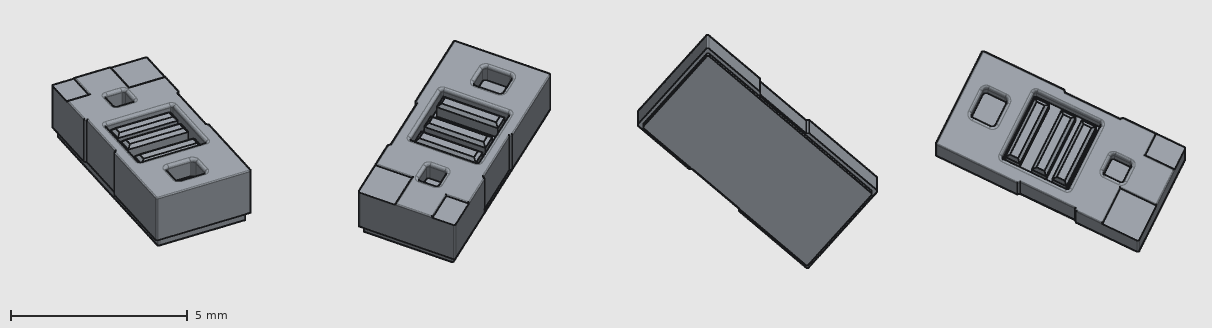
import cadquery as cq

LENGTH = 6.4
WIDTH = 3.03
HEIGHT = 1.75
HALF_LENGTH = LENGTH / 2
HALF_WIDTH = WIDTH / 2

BASE_HEIGHT = 0.28
BASE_INSET = 0.11
CORNER_RADIUS = 0.05

WAIST_START = -1.23
WAIST_END = 0.62
WAIST_DEPTH = 0.065

PAD_DEPTH = 0.04
TOP_EDGE_RADIUS = 0.035
BACK_PAD_LENGTH = 1.14
BACK_PAD_WIDTH = 1.15
FRONT_PAD_LENGTH = 0.93
FRONT_PAD_WIDTH = 0.705

POCKET_DEPTH = 0.59
RIM_RADIUS = 0.1
MAIN_POCKET = (2.1, 2.14, 0.3, -0.025, 0.06)
LEFT_POCKET = (0.635, 0.62, -1.73, -0.12, 0.08)
RIGHT_POCKET = (0.755, 0.915, 2.305, -0.115, 0.11)

RIB_CENTRES_X = (-0.42, 0.22, 1.05)
RIB_CENTRE_Y = -0.01
RIB_WIDTH = 0.455
RIB_LENGTH = 1.915
RIB_TOP_DROP = 0.095
RIB_BEVEL = 0.1


def rounded_block(length, width, bottom, height, corner_radius, centre=(0, 0)):
    """Upright block with rounded vertical edges."""
    return (
        cq.Workplane("XY", origin=(*centre, bottom))
        .rect(length, width)
        .extrude(height)
        .edges("|Z")
        .fillet(corner_radius)
    )


def waist_cutter(side):
    """Trapezoid with 45 degree ends, on the +Y (side=1) or -Y (side=-1) face."""
    outer_y = side * HALF_WIDTH
    inner_y = side * (HALF_WIDTH - WAIST_DEPTH)
    return (
        cq.Workplane("XY")
        .moveTo(WAIST_START, outer_y)
        .lineTo(WAIST_START + WAIST_DEPTH, inner_y)
        .lineTo(WAIST_END - WAIST_DEPTH, inner_y)
        .lineTo(WAIST_END, outer_y)
        .close()
        .extrude(HEIGHT)
    )


def pad_cutter(length, width, side):
    """Block over a left-hand corner, on the +Y (side=1) or -Y (side=-1) side."""
    return (
        cq.Workplane("XY", origin=(0, 0, HEIGHT - PAD_DEPTH))
        .center(-HALF_LENGTH + length / 2, side * (HALF_WIDTH - width / 2))
        .rect(length, width)
        .extrude(PAD_DEPTH)
    )


def make_body():
    """Waisted body with sunken corner pads; the whole outline of its top face is rounded."""
    body = rounded_block(LENGTH, WIDTH, BASE_HEIGHT, HEIGHT - BASE_HEIGHT, CORNER_RADIUS)
    for side in (1, -1):
        body = body.cut(waist_cutter(side))
    body = body.cut(pad_cutter(BACK_PAD_LENGTH, BACK_PAD_WIDTH, 1))
    body = body.cut(pad_cutter(FRONT_PAD_LENGTH, FRONT_PAD_WIDTH, -1))
    return body.faces(">Z").edges().fillet(TOP_EDGE_RADIUS)


def cut_pocket(part, length, width, centre_x, centre_y, corner_radius):
    """Cut a pocket with rounded corners and round over the rim of its mouth."""
    bottom = HEIGHT - POCKET_DEPTH
    cutter = rounded_block(length, width, bottom, POCKET_DEPTH, corner_radius, (centre_x, centre_y))
    margin = 0.005
    reach_x = length / 2 + margin
    reach_y = width / 2 + margin
    rim = cq.selectors.BoxSelector(
        (centre_x - reach_x, centre_y - reach_y, HEIGHT - margin),
        (centre_x + reach_x, centre_y + reach_y, HEIGHT + margin),
        boundingbox=True,
    )
    return part.cut(cutter).edges(rim).fillet(RIM_RADIUS)


def make_rib(centre_x):
    """Rib rising from the pocket floor to just below the top face."""
    return (
        cq.Workplane("XY", origin=(centre_x, RIB_CENTRE_Y, HEIGHT - POCKET_DEPTH))
        .rect(RIB_WIDTH, RIB_LENGTH)
        .extrude(POCKET_DEPTH - RIB_TOP_DROP)
        .faces(">Z")
        .chamfer(RIB_BEVEL)
    )


base = rounded_block(LENGTH - 2 * BASE_INSET, WIDTH - 2 * BASE_INSET, 0, BASE_HEIGHT, CORNER_RADIUS)
result = base.union(make_body())
for pocket in (MAIN_POCKET, LEFT_POCKET, RIGHT_POCKET):
    result = cut_pocket(result, *pocket)
for rib_x in RIB_CENTRES_X:
    result = result.union(make_rib(rib_x))